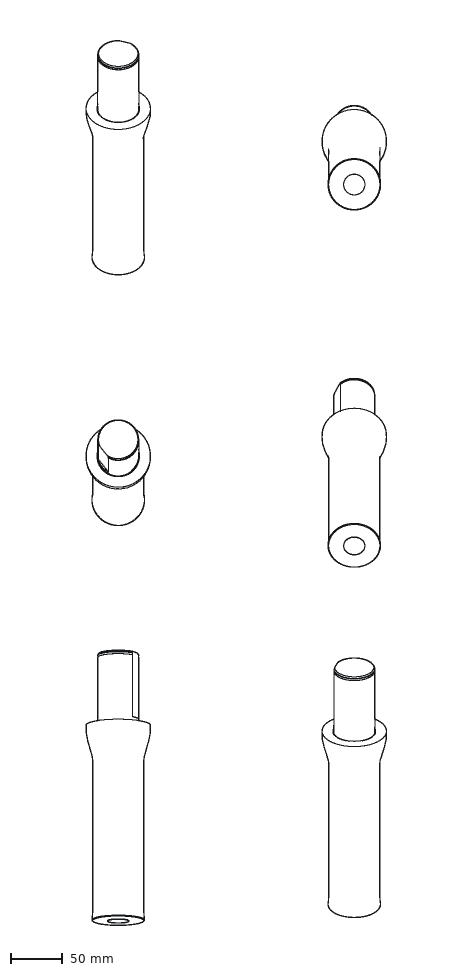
import cadquery as cq
import math

total_height = 264.0

body_radius = 49.5 / 2
collar_radius = 62.5 / 2
housing_top = 193.5
rim_height = 5.0
collar_height = 36.0
flare_angle = math.radians(15.5)
upper_bend_height = 9.2
foot_top = 13.7
foot_radius = 25.5
foot_bevel = 0.8
boss_radius = 10.3
boss_height = 0.5

socket_radius = 20.5
socket_depth = 1.3

pin_radius = 39.9 / 2
neck_radius = 39.5 / 2
neck_height = 2.5
neck_bevel_height = 0.8
groove_bottom_depth = 3.7
groove_top_depth = 1.8
tip_radius = 19.0
tip_height = 1.3
flat_distance = 18.2
flat_start = 5.8


def make_housing():
    """Revolved body with its collar, foot and boss, and the pin socket cut in its top."""
    rim_bottom = housing_top - rim_height
    collar_bottom = housing_top - collar_height
    flare_height = rim_bottom - collar_bottom
    flare_width = collar_radius - body_radius

    cone_slope = math.tan(flare_angle)
    arc_slope = math.tan(flare_angle / 2)
    bends_height = (flare_height * cone_slope - flare_width) / (cone_slope - arc_slope)
    lower_bend_height = bends_height - upper_bend_height
    flare_points = [
        (body_radius + lower_bend_height * arc_slope, collar_bottom + lower_bend_height),
        (collar_radius - upper_bend_height * arc_slope, rim_bottom - upper_bend_height),
        (collar_radius, rim_bottom),
    ]

    foot_flare = foot_radius - body_radius
    foot_arc_height = foot_top - boss_height - foot_bevel
    foot_arc_radius = (foot_arc_height**2 + foot_flare**2) / (2 * foot_flare)
    half_foot_angle = math.asin(foot_arc_height / foot_arc_radius) / 2
    foot_mid = (
        body_radius + foot_arc_radius * (1 - math.cos(half_foot_angle)),
        foot_top - foot_arc_radius * math.sin(half_foot_angle),
    )

    body = (
        cq.Workplane("XZ")
        .lineTo(boss_radius, 0)
        .lineTo(boss_radius, boss_height)
        .lineTo(foot_radius - foot_bevel, boss_height)
        .lineTo(foot_radius, boss_height + foot_bevel)
        .threePointArc(foot_mid, (body_radius, foot_top))
        .lineTo(body_radius, collar_bottom)
        .spline(flare_points, tangents=[(0, 1), (0, 1)], includeCurrent=True)
        .lineTo(collar_radius, housing_top)
        .lineTo(0, housing_top)
        .close()
        .revolve(360, (0, 0), (0, 1))
    )
    socket = (
        cq.Workplane("XY", origin=(0, 0, housing_top - socket_depth))
        .circle(socket_radius)
        .extrude(socket_depth)
    )
    return body.cut(socket)


def make_pin():
    """Necked and grooved shaft standing on the socket floor, with a flat on its +Y side."""
    pin_bottom = housing_top - socket_depth
    neck_top = housing_top + neck_height
    groove_bottom = total_height - groove_bottom_depth
    groove_top = total_height - groove_top_depth
    shaft = (
        cq.Workplane("XZ")
        .moveTo(0, pin_bottom)
        .lineTo(neck_radius, pin_bottom)
        .lineTo(neck_radius, neck_top - neck_bevel_height)
        .lineTo(pin_radius, neck_top)
        .lineTo(pin_radius, groove_bottom)
        .lineTo(neck_radius, groove_bottom)
        .lineTo(neck_radius, groove_top)
        .lineTo(pin_radius, groove_top)
        .lineTo(pin_radius, total_height - tip_height)
        .lineTo(tip_radius, total_height)
        .lineTo(0, total_height)
        .close()
        .revolve(360, (0, 0), (0, 1))
    )
    flat_bottom = housing_top + flat_start
    flat_cut = cq.Workplane("XY", origin=(0, flat_distance, flat_bottom)).box(
        2 * pin_radius, pin_radius, total_height - flat_bottom, centered=(True, False, False)
    )
    return shaft.cut(flat_cut)


housing = make_housing()
pin = make_pin()

result = cq.Compound.makeCompound([housing.val(), pin.val()])